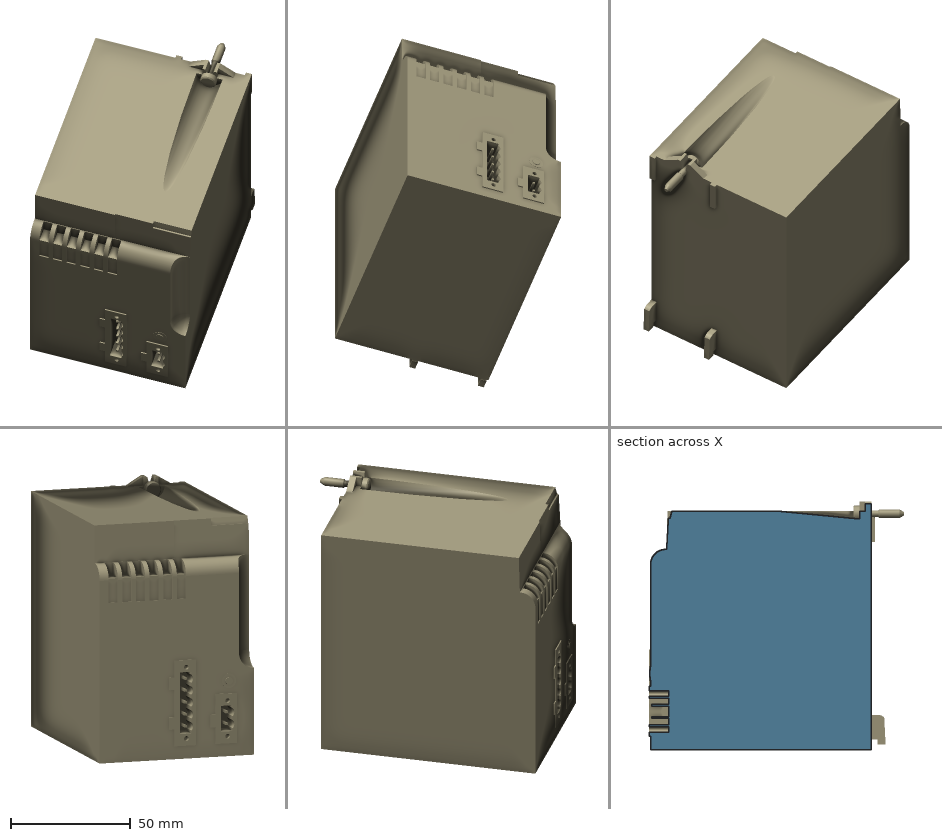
import cadquery as cq
import math

WIDTH = 68.0
HEIGHT = 100.0
DEPTH = 92.5
COVER_DEPTH = 21.5

SHOULDER_Z = 84.0
SHOULDER_RADIUS = 6.4
BAND_SPLIT_X = 35.0
BAND_BOTTOM_SETBACK = 6.7
LEFT_BAND_TOP_SETBACK = 7.15
RIGHT_BAND_TOP_SETBACK = 7.6

NOTCH_X = 51.5
NOTCH_DROP = 3.0
NOTCH_TOP_SETBACK = 8.9
NOTCH_BOTTOM_SETBACK = 8.15

SLOT_COUNT = 6
SLOT_PITCH = 6.0
SLOT_WIDTH = 4.0
SLOT_FIRST_X = 4.0
SLOT_BOTTOM_Z = 68.0
SLOT_FLOOR_Z = 78.3
SLOT_BACK_Y = 6.4
SLOT_SHALLOW_DEPTH = 0.5

SCOOP_RADIUS = 6.65
SCOOP_BOTTOM_Z = 43.55

PIN_PITCH = 5.08
LOWEST_PIN_Z = 13.6
PIN_SIZE = 1.0
PIN_SETBACK = 1.0
CONNECTOR_PROUD = 0.5
FRAME_LEFT = 5.1
FRAME_RIGHT = 4.2
FRAME_END = 8.05
TAB_WIDTH = 2.3
TAB_LOW_END = 0.9
TAB_HIGH_END = 4.4
SCREW_HOLE_END = 5.0
SCREW_HOLE_DIAMETER = 2.0
CAVITY_LEFT = 2.9
CAVITY_RIGHT = 2.2
CAVITY_END = 2.95
CAVITY_DEPTH = 8.0
SCALLOP_HALF_HEIGHT = 1.7
SCALLOP_BULGE = 0.75
CONNECTORS = [(38.0, 5, True), (56.15, 2, False)]

LAMP_X = 56.95
LAMP_Z = 32.0
LAMP_BEZEL_DIAMETER = 6.2
LAMP_BEZEL_PROUD = 0.1
LAMP_DIAMETER = 3.2
LAMP_PROUD = 0.4

SCREW_X = 51.5
SCREW_Z = 98.8
SCREW_TIP_Y = DEPTH + 13.5
TIP_RADIUS = 0.8
TIP_LENGTH = 1.9
THREAD_RADIUS = 1.85
SHANK_RADIUS = 1.4
THREAD_START_Y = DEPTH + 2.9
THREAD_CHAMFER = THREAD_RADIUS - SHANK_RADIUS
HEAD_RADIUS = 3.5
HEAD_LENGTH = 2.6
HEAD_CHAMFER = 0.5

BRACKET_TOP_Z = 104.0
WING_HALF_WIDTH = 9.9
COLLAR_HALF_WIDTH = 3.15
WING_THICKNESS = 2.75
COLLAR_THICKNESS = 5.0
SCREW_SLOT_TOP_HALF_WIDTH = 1.9
SCREW_SLOT_BOTTOM_HALF_WIDTH = 0.7

CHANNEL_RADIUS = 5.7
CHANNEL_TIP_Y = 25.0

HOOK_WIDTH = 2.6
HOOK_XS = [35.0, WIDTH - HOOK_WIDTH]
PAD_THICKNESS = 1.4
PAD_BOTTOM_Z = 87.0
HOOK_TOP_Z = 14.7
HOOK_SHOULDER_Z = 13.6
HOOK_UNDERSIDE_Z = 4.4
HOOK_LIP_Z = 2.2
HOOK_TOP_REACH = 2.8
HOOK_SHOULDER_REACH = 5.3
HOOK_LIP_REACH = 5.9
HOOK_THROAT_REACH = 2.4
HOOK_ROUND_Z = 14.4
HOOK_ROUND_REACH = 4.15

COLLAR_FRONT_Y = DEPTH - COLLAR_THICKNESS


def box(x0, x1, y0, y1, z0, z1):
    return cq.Workplane("XY").box(x1 - x0, y1 - y0, z1 - z0, centered=False).translate((x0, y0, z0))


def side_prism(points, x0, x1):
    """Prism along X over a closed (Y, Z) outline."""
    return cq.Workplane("YZ").polyline(points).close().extrude(x1 - x0).translate((x0, 0, 0))


def front_plane(y):
    """Sketch plane facing -Y whose local axes are X and Z."""
    return cq.Workplane("XZ", origin=(0, y, 0))


def band_cut(top_setback, x0, x1):
    """Removes the cover ahead of one sloping face of the set-back band."""
    outline = [
        (0, SHOULDER_Z),
        (BAND_BOTTOM_SETBACK, SHOULDER_Z),
        (top_setback, HEIGHT),
        (0, HEIGHT),
    ]
    return side_prism(outline, x0, x1)


def finger_notch():
    notch_z = HEIGHT - NOTCH_DROP
    outline = [
        (0, notch_z),
        (NOTCH_BOTTOM_SETBACK, notch_z),
        (NOTCH_TOP_SETBACK, HEIGHT),
        (0, HEIGHT),
    ]
    return side_prism(outline, NOTCH_X, WIDTH)


def corner_scoop():
    ball = cq.Workplane("XY").sphere(SCOOP_RADIUS)
    groove = cq.Workplane("XY").circle(SCOOP_RADIUS).extrude(SHOULDER_Z - SCOOP_BOTTOM_Z)
    return ball.union(groove).translate((WIDTH, 0, SCOOP_BOTTOM_Z))


def ventilation_slots():
    slots = cq.Workplane("XY")
    for index in range(SLOT_COUNT):
        x0 = SLOT_FIRST_X + index * SLOT_PITCH
        x1 = x0 + SLOT_WIDTH
        slots = slots.add(box(x0, x1, 0, SLOT_BACK_Y, SLOT_FLOOR_Z, SHOULDER_Z))
        slots = slots.add(box(x0, x1, 0, SLOT_SHALLOW_DEPTH, SLOT_BOTTOM_Z, SLOT_FLOOR_Z))
    return slots.combine()


def make_cover():
    cover = box(0, WIDTH, 0, COVER_DEPTH, 0, HEIGHT)
    cover = cover.cut(band_cut(LEFT_BAND_TOP_SETBACK, 0, BAND_SPLIT_X))
    cover = cover.cut(band_cut(RIGHT_BAND_TOP_SETBACK, BAND_SPLIT_X, WIDTH))
    shoulder_edge = cq.selectors.NearestToPointSelector((WIDTH / 2, 0, SHOULDER_Z))
    cover = cover.edges(shoulder_edge).fillet(SHOULDER_RADIUS)
    cover = cover.cut(finger_notch())
    cover = cover.cut(ventilation_slots())
    return cover.cut(corner_scoop())


def cavity_outline(pin_x, pin_zs):
    """Rectangle whose right side bulges beside every pin."""
    left = pin_x - CAVITY_LEFT
    right = pin_x + CAVITY_RIGHT
    bottom = pin_zs[0] - CAVITY_END
    top = pin_zs[-1] + CAVITY_END
    outline = front_plane(-CONNECTOR_PROUD).moveTo(left, bottom).lineTo(right, bottom)
    for z in pin_zs:
        outline = outline.lineTo(right, z - SCALLOP_HALF_HEIGHT)
        outline = outline.threePointArc((right + SCALLOP_BULGE, z), (right, z + SCALLOP_HALF_HEIGHT))
    return outline.lineTo(right, top).lineTo(left, top).close()


def add_connector(body, pin_x, pin_count, two_tabs):
    pin_zs = [LOWEST_PIN_Z + index * PIN_PITCH for index in range(pin_count)]
    first, last = pin_zs[0], pin_zs[-1]
    left = pin_x - FRAME_LEFT
    front = -CONNECTOR_PROUD
    body = body.union(box(left, pin_x + FRAME_RIGHT, front, 0, first - FRAME_END, last + FRAME_END))
    tabs = [(first - TAB_LOW_END, first + TAB_HIGH_END)]
    if two_tabs:
        tabs.append((last - TAB_HIGH_END, last + TAB_LOW_END))
    for z0, z1 in tabs:
        body = body.union(box(left - TAB_WIDTH, left, front, 0, z0, z1))
    body = body.cut(cavity_outline(pin_x, pin_zs).extrude(-CAVITY_DEPTH))
    holes = front_plane(front).pushPoints([(pin_x, first - SCREW_HOLE_END), (pin_x, last + SCREW_HOLE_END)])
    body = body.cut(holes.circle(SCREW_HOLE_DIAMETER / 2).extrude(-CAVITY_DEPTH))
    pins = front_plane(front + PIN_SETBACK).pushPoints([(pin_x, z) for z in pin_zs])
    return body.union(pins.rect(PIN_SIZE, PIN_SIZE).extrude(-CAVITY_DEPTH))


def add_lamp(body):
    for diameter, proud in [(LAMP_BEZEL_DIAMETER, LAMP_BEZEL_PROUD), (LAMP_DIAMETER, LAMP_PROUD)]:
        body = body.union(front_plane(0).center(LAMP_X, LAMP_Z).circle(diameter / 2).extrude(proud))
    return body


def screwdriver_channel():
    """Cylinder whose axis meets the top face at the collar and whose wall leaves it at the channel tip."""
    length = COLLAR_FRONT_Y - CHANNEL_TIP_Y
    tilt = math.degrees(math.asin(CHANNEL_RADIUS / length))
    cylinder = front_plane(0).circle(CHANNEL_RADIUS).extrude(2 * length, both=True)
    cylinder = cylinder.rotate((0, 0, 0), (1, 0, 0), -tilt)
    cylinder = cylinder.translate((SCREW_X, COLLAR_FRONT_Y, HEIGHT))
    return cylinder.intersect(box(0, WIDTH, 0, COLLAR_FRONT_Y, 0, 2 * HEIGHT))


def screw_bracket():
    wings = (
        front_plane(DEPTH)
        .polyline(
            [
                (SCREW_X - WING_HALF_WIDTH, HEIGHT),
                (SCREW_X + WING_HALF_WIDTH, HEIGHT),
                (SCREW_X + COLLAR_HALF_WIDTH, BRACKET_TOP_Z),
                (SCREW_X - COLLAR_HALF_WIDTH, BRACKET_TOP_Z),
            ]
        )
        .close()
        .extrude(WING_THICKNESS)
    )
    collar = box(
        SCREW_X - COLLAR_HALF_WIDTH, SCREW_X + COLLAR_HALF_WIDTH, COLLAR_FRONT_Y, DEPTH, HEIGHT, BRACKET_TOP_Z
    )
    return wings.union(collar)


def screw_slot():
    return (
        front_plane(DEPTH)
        .polyline(
            [
                (SCREW_X - SCREW_SLOT_TOP_HALF_WIDTH, BRACKET_TOP_Z),
                (SCREW_X - SCREW_SLOT_BOTTOM_HALF_WIDTH, HEIGHT),
                (SCREW_X + SCREW_SLOT_BOTTOM_HALF_WIDTH, HEIGHT),
                (SCREW_X + SCREW_SLOT_TOP_HALF_WIDTH, BRACKET_TOP_Z),
            ]
        )
        .close()
        .extrude(COLLAR_THICKNESS)
    )


def screw():
    """Solid of revolution about the screw axis, head at the front and pointed at the back."""
    head_front_y = COLLAR_FRONT_Y - HEAD_LENGTH
    profile = [
        (0, head_front_y),
        (HEAD_RADIUS - HEAD_CHAMFER, head_front_y),
        (HEAD_RADIUS, head_front_y + HEAD_CHAMFER),
        (HEAD_RADIUS, COLLAR_FRONT_Y),
        (SHANK_RADIUS, COLLAR_FRONT_Y),
        (SHANK_RADIUS, THREAD_START_Y),
        (THREAD_RADIUS, THREAD_START_Y + THREAD_CHAMFER),
        (THREAD_RADIUS, SCREW_TIP_Y - TIP_LENGTH),
        (TIP_RADIUS, SCREW_TIP_Y),
        (0, SCREW_TIP_Y),
    ]
    turned = cq.Workplane("XY").polyline(profile).close().revolve(360, (0, 0, 0), (0, 1, 0))
    return turned.translate((SCREW_X, 0, SCREW_Z))


def upper_pad(x0):
    return box(x0, x0 + HOOK_WIDTH, DEPTH, DEPTH + PAD_THICKNESS, PAD_BOTTOM_Z, HEIGHT)


def lower_hook(x0):
    """Hook with a rounded upper corner and a downward lip."""
    return (
        cq.Workplane("YZ", origin=(x0, DEPTH, 0))
        .moveTo(0, HOOK_UNDERSIDE_Z)
        .lineTo(HOOK_THROAT_REACH, HOOK_UNDERSIDE_Z)
        .lineTo(HOOK_THROAT_REACH, HOOK_LIP_Z)
        .lineTo(HOOK_LIP_REACH, HOOK_LIP_Z)
        .lineTo(HOOK_SHOULDER_REACH, HOOK_SHOULDER_Z)
        .threePointArc((HOOK_ROUND_REACH, HOOK_ROUND_Z), (HOOK_TOP_REACH, HOOK_TOP_Z))
        .lineTo(0, HOOK_TOP_Z)
        .close()
        .extrude(HOOK_WIDTH)
    )


def make_housing():
    housing = box(0, WIDTH, COVER_DEPTH, DEPTH, 0, HEIGHT)
    housing = housing.cut(screwdriver_channel())
    housing = housing.union(screw_bracket()).cut(screw_slot()).union(screw())
    for x0 in HOOK_XS:
        housing = housing.union(upper_pad(x0)).union(lower_hook(x0))
    return housing


cover = make_cover()
for pin_x, pin_count, two_tabs in CONNECTORS:
    cover = add_connector(cover, pin_x, pin_count, two_tabs)
cover = add_lamp(cover)

result = cover.union(make_housing(), clean=False)